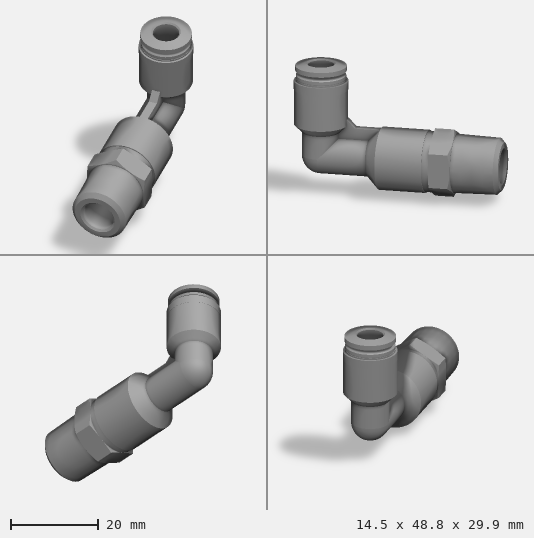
import cadquery as cq
import math


pipe_radius = 4.4
passage_radius = 4.3 / 2

port_radius = 12.5 / 2
port_lower_radius = port_radius - 0.05
port_cone_top = 7.3
port_cone_base = port_cone_top - (port_lower_radius - pipe_radius)
port_step = 15.7
port_top = 17.75
ring_radius = 11.5 / 2
ring_top = 19.25
ring_chamfer = 0.2
ring_groove_bottom = 18.1
ring_groove_top = 18.35
ring_groove_depth = 0.15
neck_radius = 7.5 / 2
collar_radius = 11.8 / 2
collar_bottom = 20.2
collar_edge_top = 21.3
collar_top = 21.8
tube_bore_radius = 6.0 / 2
tube_bore_mouth_radius = 6.7 / 2
tube_bore_chamfer = tube_bore_mouth_radius - tube_bore_radius
tube_bore_bottom = port_cone_top

sleeve_radius = 14.5 / 2
sleeve_cone_start = 11.2
sleeve_start = sleeve_cone_start + (sleeve_radius - pipe_radius)
sleeve_end = 24.9
hex_start = 26.45
hex_end = 31.6
hex_flats = 14.0
hex_corner_radius = hex_flats / math.sqrt(3)
shoulder_radius = hex_flats / 2
hex_back_bevel = 0.2
hex_front_bevel = 0.6
hex_front_radius = 13.9 / 2
run_length = 48.75 - port_radius

thread_root_radius = 13.55 / 2
thread_end_radius = 13.05 / 2
thread_tip_radius = 11.0 / 2
thread_chamfer = 0.98
run_bore_radius = 7.5 / 2
run_bore_mouth_radius = 8.45 / 2
run_bore_chamfer = run_bore_mouth_radius - run_bore_radius
run_bore_bottom = hex_start

rib_width = 1.95
rib_top = 6.95
rib_slope_foot = 8.15
rib_slope_top = rib_top + rib_slope_foot - port_radius


def revolve_z(profile):
    """Revolve (radius, height) points about the Z axis."""
    closed = [(0, profile[0][1])] + profile + [(0, profile[-1][1])]
    return cq.Workplane("XZ").polyline(closed).close().revolve(360, (0, 0), (0, 1))


def revolve_run(profile):
    """Revolve (radius, distance) points about the run axis."""
    return revolve_z(profile).rotate((0, 0, 0), (1, 0, 0), 90)


def make_port():
    return revolve_z([
        (pipe_radius, 0),
        (pipe_radius, port_cone_base),
        (port_lower_radius, port_cone_top),
        (port_lower_radius, port_step),
        (port_radius, port_step),
        (port_radius, port_top),
        (ring_radius, port_top),
        (ring_radius, ring_groove_bottom),
        (ring_radius - ring_groove_depth, ring_groove_bottom),
        (ring_radius - ring_groove_depth, ring_groove_top),
        (ring_radius, ring_groove_top),
        (ring_radius, ring_top - ring_chamfer),
        (ring_radius - ring_chamfer, ring_top),
        (neck_radius, ring_top),
        (neck_radius, collar_bottom),
        (collar_radius, collar_bottom),
        (collar_radius, collar_edge_top),
        (tube_bore_mouth_radius, collar_top),
    ])


def make_run():
    return revolve_run([
        (pipe_radius, 0),
        (pipe_radius, sleeve_cone_start),
        (sleeve_radius, sleeve_start),
        (sleeve_radius, sleeve_end),
        (shoulder_radius, sleeve_end),
        (shoulder_radius, hex_start),
        (thread_root_radius, hex_start),
        (thread_root_radius, hex_end),
        (thread_end_radius, run_length - thread_chamfer),
        (thread_tip_radius, run_length),
    ])


def make_hex():
    """Hexagon with corners on +Z and -Z and both faces bevelled."""
    prism = (
        cq.Workplane("XZ", origin=(0, -hex_start, 0))
        .polygon(6, 2 * hex_corner_radius)
        .extrude(hex_end - hex_start)
        .rotate((0, 0, 0), (0, 1, 0), 30)
    )
    bevels = revolve_run([
        (shoulder_radius, hex_start),
        (hex_corner_radius, hex_start + hex_back_bevel),
        (hex_corner_radius, hex_end - hex_front_bevel),
        (hex_front_radius, hex_end),
    ])
    return prism.intersect(bevels)


def make_rib():
    return (
        cq.Workplane("YZ")
        .polyline([
            (0, 0),
            (0, rib_slope_top),
            (-port_radius, rib_slope_top),
            (-rib_slope_foot, rib_top),
            (-sleeve_start, rib_top),
            (-sleeve_start, 0),
        ])
        .close()
        .extrude(rib_width / 2, both=True)
    )


def make_bores():
    port_bore = revolve_z([
        (passage_radius, 0),
        (passage_radius, tube_bore_bottom),
        (tube_bore_radius, tube_bore_bottom),
        (tube_bore_radius, collar_top - tube_bore_chamfer),
        (tube_bore_mouth_radius, collar_top),
    ])
    run_bore = revolve_run([
        (passage_radius, 0),
        (passage_radius, run_bore_bottom),
        (run_bore_radius, run_bore_bottom),
        (run_bore_radius, run_length - run_bore_chamfer),
        (run_bore_mouth_radius, run_length),
    ])
    corner = cq.Workplane("XY").sphere(passage_radius)
    return port_bore.union(run_bore).union(corner)


elbow_corner = cq.Workplane("XY").sphere(pipe_radius)
body = make_port().union(make_run()).union(elbow_corner).union(make_hex()).union(make_rib())
result = body.cut(make_bores())